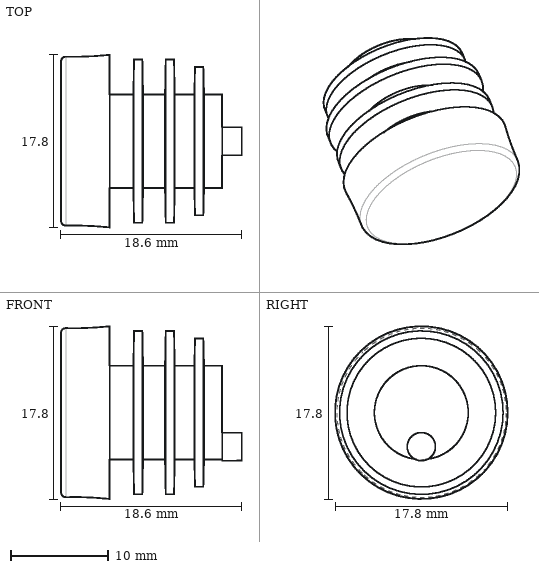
import cadquery as cq

total_length = 18.62

head_length = 5.0
head_rear_diameter = 17.8
head_front_diameter = 17.43
head_waist_diameter = 17.47
head_edge_radius = 0.5

stem_diameter = 9.66
stem_end = 16.59

fins = [(7.95, 16.83), (11.2, 16.83), (14.23, 15.3)]
fin_root_width = 1.02
fin_tip_width = 0.88

pin_diameter = 2.9
pin_offset_z = -3.5


def x_cylinder(diameter, start, end, z=0.0):
    """Cylinder along X between two stations."""
    plane = cq.Workplane("YZ", origin=(start, 0, z))
    return plane.circle(diameter / 2).extrude(end - start)


def revolve_about_x(profile):
    """Full turn of a closed XY profile about the X axis."""
    return profile.close().revolve(360, (0, 0, 0), (1, 0, 0))


def make_head():
    front_radius = head_front_diameter / 2
    side_middle = (head_edge_radius + head_length) / 2
    profile = (
        cq.Workplane("XY")
        .lineTo(0, front_radius - head_edge_radius)
        .radiusArc((head_edge_radius, front_radius), head_edge_radius)
        .threePointArc(
            (side_middle, head_waist_diameter / 2),
            (head_length, head_rear_diameter / 2),
        )
        .lineTo(head_length, 0)
    )
    return revolve_about_x(profile)


def make_fin(center, diameter):
    root_radius = stem_diameter / 2
    profile = (
        cq.Workplane("XY")
        .moveTo(center - fin_root_width / 2, 0)
        .lineTo(center - fin_root_width / 2, root_radius)
        .lineTo(center - fin_tip_width / 2, diameter / 2)
        .lineTo(center + fin_tip_width / 2, diameter / 2)
        .lineTo(center + fin_root_width / 2, root_radius)
        .lineTo(center + fin_root_width / 2, 0)
    )
    return revolve_about_x(profile)


result = make_head().union(x_cylinder(stem_diameter, head_length, stem_end))
for fin_center, fin_diameter in fins:
    result = result.union(make_fin(fin_center, fin_diameter))
result = result.union(x_cylinder(pin_diameter, stem_end, total_length, pin_offset_z))